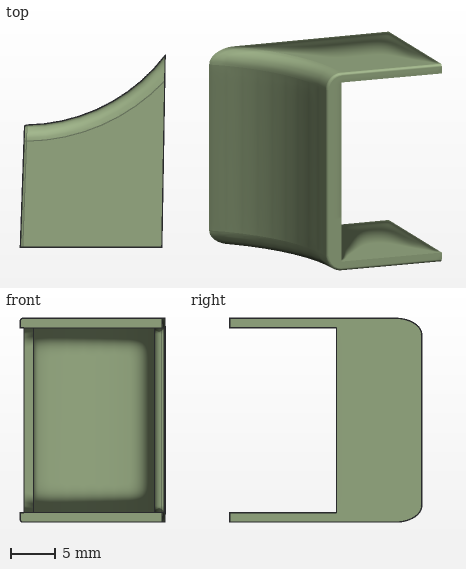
import cadquery as cq
import math

height = 23.05
base_width = 16.01
tip_y = 21.7
left_draft = 2.0
right_draft = 1.0

curve_radius = 20.0
curve_start_y = 13.82

wall = 1.08
wall_end_y = 12.05

curve_fillet = 1.85
left_fillet = 0.3
wall_end_fillet = 0.83

left_slope = math.tan(math.radians(left_draft))
right_slope = math.tan(math.radians(right_draft))


def left_x(y):
    return left_slope * y


def right_x(y):
    return base_width + right_slope * y


curve_start = (left_x(curve_start_y), curve_start_y)
curve_end = (right_x(tip_y), tip_y)
chord_x = curve_end[0] - curve_start[0]
chord_y = curve_end[1] - curve_start[1]
chord = math.hypot(chord_x, chord_y)
center_reach = math.sqrt(curve_radius**2 - (chord / 2) ** 2)
curve_center = (
    (curve_start[0] + curve_end[0]) / 2 - center_reach * chord_y / chord,
    (curve_start[1] + curve_end[1]) / 2 + center_reach * chord_x / chord,
)


def make_body():
    body = (
        cq.Workplane("XY")
        .moveTo(0, 0)
        .lineTo(base_width, 0)
        .lineTo(*curve_end)
        .radiusArc(curve_start, curve_radius)
        .close()
        .extrude(height)
    )
    curved_edges = body.faces("<Z or >Z").edges("%CIRCLE")
    body = curved_edges.fillet(curve_fillet)
    return body.faces("<X").edges("not <Y").fillet(left_fillet)


def make_cavity():
    """Space between the plates, behind the side walls and the curved wall."""
    inner_height = height - 2 * wall
    left_inset = wall / math.cos(math.radians(left_draft))
    right_inset = wall / math.cos(math.radians(right_draft))
    pocket = (
        cq.Workplane("XY", origin=(0, 0, wall))
        .moveTo(left_x(wall_end_y) + left_inset, wall_end_y)
        .lineTo(right_x(wall_end_y) - right_inset, wall_end_y)
        .lineTo(right_x(tip_y) - right_inset, tip_y)
        .lineTo(left_x(tip_y) + left_inset, tip_y)
        .close()
        .extrude(inner_height)
    )
    curved_wall = (
        cq.Workplane("XY", origin=(0, 0, wall))
        .center(*curve_center)
        .circle(curve_radius + wall)
        .extrude(inner_height)
    )
    open_end = cq.Workplane("XY").box(
        3 * base_width, 2 * wall_end_y, inner_height
    ).translate((0, 0, height / 2))
    return pocket.cut(curved_wall).union(open_end)


def round_wall_end(body):
    """Round the inner vertical corner at the end of the right wall."""
    corner_x = right_x(wall_end_y) - wall
    reach = 0.23
    corner = cq.selectors.BoxSelector(
        (corner_x - reach, wall_end_y - reach, 0),
        (corner_x + reach, wall_end_y + reach, height),
    )
    return body.edges("|Z").edges(corner).fillet(wall_end_fillet)


result = round_wall_end(make_body().cut(make_cavity()))